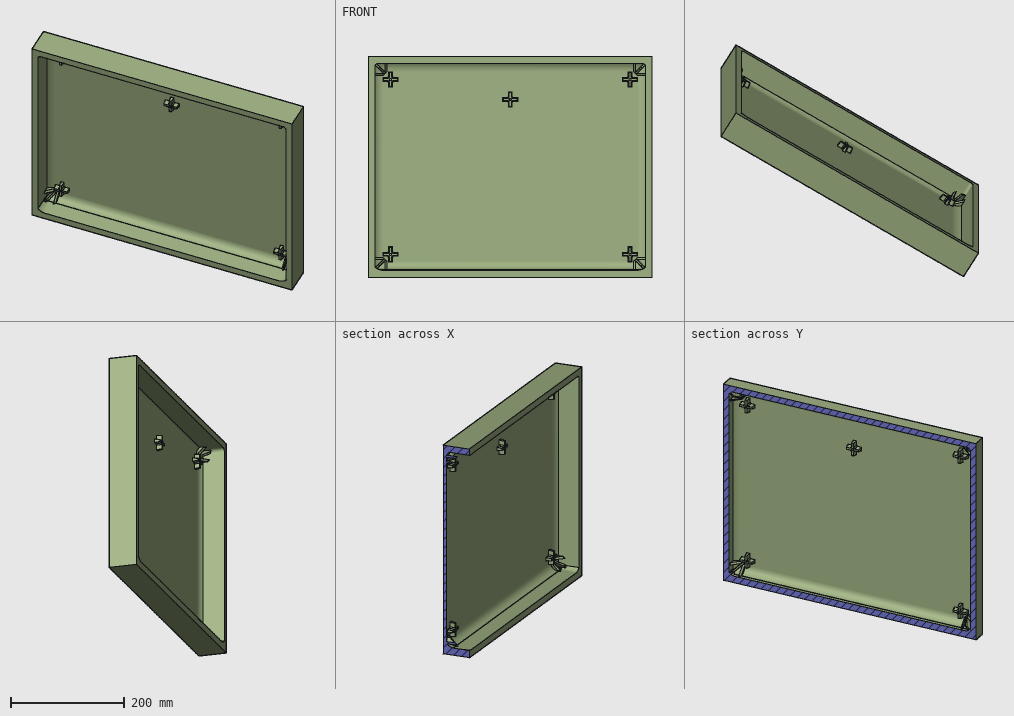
import cadquery as cq
import math

WIDTH = 500.5
DEPTH = 51.0
HEIGHT = 390.0
FLOOR = 5.5
SIDE_WALL = 11.5
TOP_WALL = 12.5
BOTTOM_WALL = 13.0
BOTTOM_WALL_LEAN = 1.5
TOP_CORNER_RADIUS = 6.0

COVE_WIDTH = 14.5
SHALLOW_COVE_RISE = 6.0
FULL_COVE_RISE = COVE_WIDTH

GUSSET_SIZE = 21.0
GUSSET_RIB = 3.5
GUSSET_EDGE = 14.5

STUD_SPAN = 27.0
STUD_ARM_WIDTH = 6.5
STUD_HUB_DIAMETER = 12.0
STUD_HOLE_DIAMETER = 4.0
STUD_HEIGHT = 9.5
STUD_TAPER = 8.0
CORNER_STUD_X = 211.0
CORNER_STUD_Z = 154.0
UPPER_STUD_Z = 119.0

floor_y = DEPTH / 2 - FLOOR
mouth_y = -DEPTH / 2
pocket_depth = floor_y - mouth_y
pocket_right = WIDTH / 2 - SIDE_WALL
pocket_top = HEIGHT / 2 - TOP_WALL
mouth_bottom = -HEIGHT / 2 + BOTTOM_WALL
pocket_bottom = mouth_bottom + BOTTOM_WALL_LEAN
pocket_height = pocket_top - pocket_bottom
overlap = FLOOR / 2


def pocket():
    """Pocket from the mouth to the floor; its bottom wall leans and its top corners are rounded."""
    section = [
        (mouth_y, mouth_bottom),
        (floor_y, pocket_bottom),
        (floor_y, pocket_top),
        (mouth_y, pocket_top),
    ]
    return (
        cq.Workplane("YZ")
        .polyline(section)
        .close()
        .extrude(pocket_right, both=True)
        .edges("|Y and >Z")
        .fillet(TOP_CORNER_RADIUS)
    )


def cove(corner, across, along, rise, length):
    """Straight filler under an arc.

    The arc starts tangent to the face that runs in the direction `across`, and
    climbs by `rise` at the corner. The filler reaches `length` in the direction `along`.
    """
    radius = (COVE_WIDTH**2 + rise**2) / (2 * rise)
    half_sweep = math.acos(1 - rise / radius) / 2
    arc_middle = (
        COVE_WIDTH - radius * math.sin(half_sweep),
        radius * (1 - math.cos(half_sweep)),
    )
    return (
        cq.Workplane(cq.Plane(origin=corner, xDir=across, normal=along))
        .moveTo(COVE_WIDTH, 0)
        .threePointArc(arc_middle, (0, rise))
        .lineTo(-overlap, rise)
        .lineTo(-overlap, -overlap)
        .lineTo(COVE_WIDTH, -overlap)
        .close()
        .extrude(length)
    )


def gusset_section(plane, leg):
    """Right triangle with the given legs, carried past both legs into the walls."""
    tip = leg + overlap
    return plane.polyline([(-overlap, -overlap), (tip, -overlap), (-overlap, tip)]).close()


def gusset():
    """Ribs under a sloping corner plane, with the pocket corner at the origin and inward axes positive."""
    wedge_base = cq.Workplane("YZ").workplane(offset=-overlap)
    wedge_length = GUSSET_SIZE + overlap
    wedge = gusset_section(wedge_base, GUSSET_EDGE + wedge_length)
    wedge = gusset_section(wedge.workplane(offset=wedge_length), GUSSET_EDGE).loft(ruled=True)

    full_size = 2 * GUSSET_SIZE
    outer = cq.Workplane("XY").box(full_size, full_size, full_size)
    inner_size = 2 * (GUSSET_SIZE - GUSSET_RIB)
    wall_ribs = outer.cut(cq.Workplane("XY").box(inner_size, full_size, inner_size))
    diagonal = (
        cq.Workplane("XY")
        .box(2 * full_size, full_size, GUSSET_RIB)
        .rotate((0, 0, 0), (0, 1, 0), -45)
        .intersect(outer)
    )
    return wedge.intersect(wall_ribs.union(diagonal))


def placed_gusset(x_side, z_side):
    """Gusset turned into the chosen corner of the pocket."""
    placed = gusset().mirror("XZ")
    if x_side > 0:
        placed = placed.mirror("YZ")
    if z_side > 0:
        placed = placed.mirror("XY")
    wall_z = pocket_top if z_side > 0 else pocket_bottom
    return placed.translate((x_side * pocket_right, floor_y, wall_z))


def stud(x, z):
    """Tapered cross with a round hub and a blind hole down to floor level."""
    root = cq.Workplane("XZ", origin=(x, floor_y, z))
    cross = root.rect(STUD_SPAN, STUD_ARM_WIDTH).extrude(STUD_HEIGHT, taper=STUD_TAPER)
    cross = cross.union(root.rect(STUD_ARM_WIDTH, STUD_SPAN).extrude(STUD_HEIGHT, taper=STUD_TAPER))
    cross = cross.union(root.circle(STUD_HUB_DIAMETER / 2).extrude(STUD_HEIGHT, taper=STUD_TAPER))
    return cross.cut(root.circle(STUD_HOLE_DIAMETER / 2).extrude(STUD_HEIGHT))


result = cq.Workplane("XY").box(WIDTH, DEPTH, HEIGHT).cut(pocket())

pocket_width = 2 * pocket_right
left_bottom = (-pocket_right, floor_y, pocket_bottom)
right_bottom = (pocket_right, floor_y, pocket_bottom)
left_top = (-pocket_right, floor_y, pocket_top)
right_top = (pocket_right, floor_y, pocket_top)
bottom_cove = cove(left_bottom, (0, 0, 1), (1, 0, 0), FULL_COVE_RISE, pocket_width)
top_cove = cove(right_top, (0, 0, -1), (-1, 0, 0), SHALLOW_COVE_RISE, pocket_width)
left_cove = cove(left_top, (1, 0, 0), (0, 0, -1), SHALLOW_COVE_RISE, pocket_height)
right_cove = cove(right_bottom, (-1, 0, 0), (0, 0, 1), SHALLOW_COVE_RISE, pocket_height)

left_start = (-pocket_right, floor_y, mouth_bottom)
right_start = (pocket_right, mouth_y, mouth_bottom)
left_corner_cove = cove(left_start, (1, 0, 0), (0, -1, 0), SHALLOW_COVE_RISE, pocket_depth)
right_corner_cove = cove(right_start, (-1, 0, 0), (0, 1, 0), SHALLOW_COVE_RISE, pocket_depth)

fillers = [bottom_cove, top_cove, left_cove, right_cove, left_corner_cove, right_corner_cove]
for filler in fillers:
    result = result.union(filler)

result = result.union(stud(0, UPPER_STUD_Z))
for x_side in (-1, 1):
    for z_side in (-1, 1):
        result = result.union(placed_gusset(x_side, z_side))
        result = result.union(stud(x_side * CORNER_STUD_X, z_side * CORNER_STUD_Z))